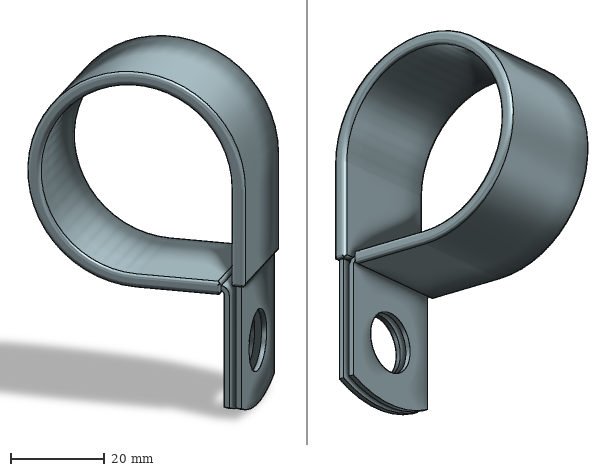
import cadquery as cq
import math

total_height = 76.6
outer_diameter = 48.5
jacket_width = 27.0
strip_thickness = 1.15
face_cover = 0.9
edge_cover = 0.7
lower_leg_end = 18.85
upright_leg_end = -22.1
tab_gap = 1.5
bend_inner_radius = 0.9
tab_arc_rise = 2.8
hole_diameter = 13.55
hole_to_tip = 14.25

outer_radius = outer_diameter / 2
jacket_thickness = strip_thickness + 2 * face_cover
middle_radius = outer_radius - jacket_thickness / 2
strip_outer = middle_radius + strip_thickness / 2
strip_inner = middle_radius - strip_thickness / 2
strip_width = jacket_width - 2 * edge_cover
tip_z = outer_radius - total_height
tab_shoulder_z = tip_z + tab_arc_rise
bent_tab_outer = strip_inner - tab_gap
bent_tab_inner = bent_tab_outer - strip_thickness
bend_outer_radius = bend_inner_radius + strip_thickness
bend_x = bent_tab_outer - bend_outer_radius
bend_z = -strip_inner - bend_outer_radius


def rounded_outline(plane, center, length):
    """Jacket outline, thickness along local x, with an arc rounding each corner."""
    half_thickness = jacket_thickness / 2
    half_length = length / 2
    flat_x = half_thickness - face_cover
    flat_y = half_length - edge_cover
    arc_radius = (face_cover**2 + edge_cover**2) / (2 * edge_cover)
    half_angle = math.asin(face_cover / arc_radius) / 2
    mid_x = flat_x + arc_radius * math.sin(half_angle)
    mid_y = half_length - arc_radius * (1 - math.cos(half_angle))
    return (
        cq.Workplane(plane)
        .center(*center)
        .moveTo(half_thickness, -flat_y)
        .lineTo(half_thickness, flat_y)
        .threePointArc((mid_x, mid_y), (flat_x, half_length))
        .lineTo(-flat_x, half_length)
        .threePointArc((-mid_x, mid_y), (-half_thickness, flat_y))
        .lineTo(-half_thickness, -flat_y)
        .threePointArc((-mid_x, -mid_y), (-flat_x, -half_length))
        .lineTo(flat_x, -half_length)
        .threePointArc((mid_x, -mid_y), (half_thickness, -flat_y))
        .close()
    )


def upright_leg(end_z):
    """Jacketed leg below the +X side of the loop, rounded on its sides and its end."""
    length = -end_z
    across = rounded_outline("XY", (middle_radius, 0), jacket_width).extrude(-length)
    along = rounded_outline("XZ", (middle_radius, 0), 2 * length)
    broad_face = (
        cq.Workplane("YZ")
        .rect(jacket_width, 2 * length)
        .extrude(outer_radius)
        .edges("|X")
        .fillet(edge_cover)
    )
    return across.intersect(along.extrude(jacket_width / 2, both=True)).intersect(broad_face)


def jacket():
    loop = rounded_outline("XY", (middle_radius, 0), jacket_width).revolve(
        270, (-middle_radius, 0, 0), (-middle_radius, -1, 0)
    )
    upright = upright_leg(upright_leg_end)
    horizontal = upright_leg(-lower_leg_end).rotate((0, 0, 0), (0, 1, 0), 90).mirror("YZ")
    return loop.union(upright).union(horizontal)


def bent_strip():
    """Bare strip leaving the horizontal leg and turning down into the first tab."""
    bend_mid = math.sqrt(0.5)
    return (
        cq.Workplane("XZ")
        .moveTo(0, -strip_inner)
        .lineTo(bend_x, -strip_inner)
        .threePointArc(
            (bend_x + bend_outer_radius * bend_mid, bend_z + bend_outer_radius * bend_mid),
            (bent_tab_outer, bend_z),
        )
        .lineTo(bent_tab_outer, tip_z)
        .lineTo(bent_tab_inner, tip_z)
        .lineTo(bent_tab_inner, bend_z)
        .threePointArc(
            (bend_x + bend_inner_radius * bend_mid, bend_z + bend_inner_radius * bend_mid),
            (bend_x, -strip_outer),
        )
        .lineTo(0, -strip_outer)
        .close()
        .extrude(strip_width / 2, both=True)
    )


def straight_strip():
    """Bare strip continuing straight down from the upright leg."""
    return cq.Workplane("XY").box(
        strip_thickness, strip_width, -tip_z, centered=(True, True, False)
    ).translate((middle_radius, 0, tip_z))


def tab_shape():
    """Profile with a curved tip and a bolt hole, used to trim both tabs."""
    half_width = strip_width / 2
    return (
        cq.Workplane("YZ")
        .moveTo(-half_width, 0)
        .lineTo(-half_width, tab_shoulder_z)
        .threePointArc((0, tip_z), (half_width, tab_shoulder_z))
        .lineTo(half_width, 0)
        .close()
        .moveTo(0, tip_z + hole_to_tip)
        .circle(hole_diameter / 2)
        .extrude(outer_radius)
    )


tabs = bent_strip().union(straight_strip()).intersect(tab_shape())
result = jacket().union(tabs)